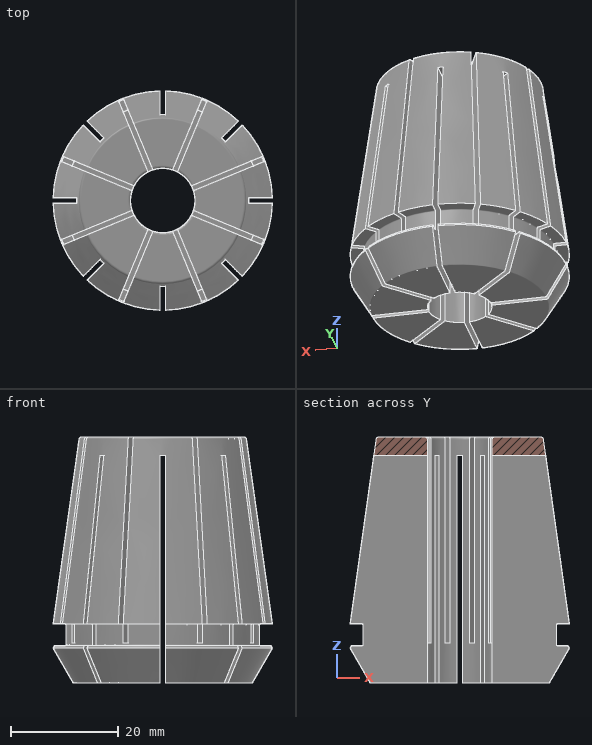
import cadquery as cq
import math

total_height = 46.0
flange_top = 7.0
groove_top = 11.1
rim_bevel_height = 0.45
rim_bevel_width = 0.27

max_radius = 20.5
neck_radius = 18.1
bore_radius = 6.0
body_taper = 8.0
nose_taper = 30.0
edge_fillet = 0.5
small_fillet = 0.2

slot_width = 1.0
slots_per_end = 8
nose_slot_top = 42.5
top_slot_bottom = 7.5

bar_length = 2.2 * max_radius
slot_pitch = 360.0 / slots_per_end
rim_height = flange_top - rim_bevel_height
nose_radius = max_radius - rim_height * math.tan(math.radians(nose_taper))

pick_margin = 0.01
smallest_circle = cq.selectors.RadiusNthSelector(0)
largest_circle = cq.selectors.RadiusNthSelector(-1)


def body_radius(height):
    """Radius of the clamping cone at a height above the nose face."""
    return max_radius - (height - groove_top) * math.tan(math.radians(body_taper))


def revolved_body():
    """Bored double cone with the extraction groove between its two tapers, edges rounded."""
    outline = [
        (bore_radius, 0),
        (nose_radius, 0),
        (max_radius, rim_height),
        (max_radius - rim_bevel_width, flange_top),
        (neck_radius, flange_top),
        (neck_radius, groove_top),
        (max_radius, groove_top),
        (body_radius(total_height), total_height),
        (bore_radius, total_height),
    ]
    body = cq.Workplane("XZ").polyline(outline).close().revolve(360, (0, 0, 0), (0, 1, 0))
    body = body.faces(">Z").edges().fillet(edge_fillet)
    for height in (flange_top, groove_top):
        level = cq.selectors.BoxSelector(
            (-pick_margin, -pick_margin, height - pick_margin),
            (pick_margin, pick_margin, height + pick_margin),
        )
        body = body.edges(level).edges(smallest_circle).fillet(small_fillet)
    return body.faces("<Z").edges(largest_circle).fillet(small_fillet)


def radial_slots(bottom, top, first_angle):
    """Ring of radial slots; each cutting bar spans the axis and makes two opposite slots."""
    bars = cq.Workplane("XY")
    for index in range(slots_per_end // 2):
        bar = (
            cq.Workplane("XY", origin=(0, 0, bottom))
            .rect(bar_length, slot_width)
            .extrude(top - bottom)
            .rotate((0, 0, 0), (0, 0, 1), first_angle + index * slot_pitch)
        )
        bars = bars.add(bar)
    return bars.combine()


nose_slots = radial_slots(0, nose_slot_top, 0)
top_slots = radial_slots(top_slot_bottom, total_height, slot_pitch / 2)

result = revolved_body().cut(nose_slots).cut(top_slots)